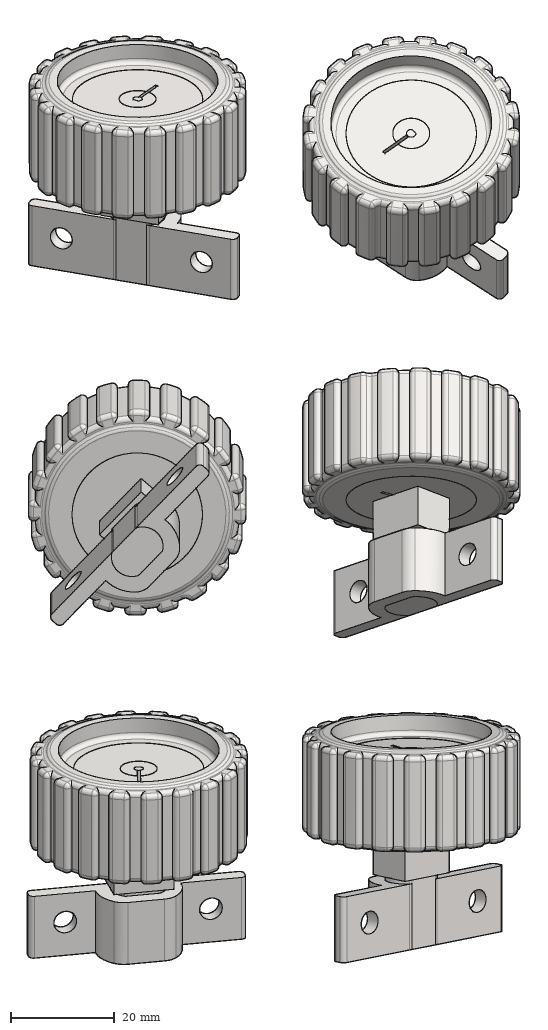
import cadquery as cq
import math

BRACKET_HEIGHT = 13.0
NECK_TOP = 14.0
KNOB_BOTTOM = 22.0
KNOB_TOP = 42.0
DIAL_DEPTH = 4.0
DIAL_Z = KNOB_TOP - DIAL_DEPTH

EDGE_RADIUS = 1.0

KNOB_TURN = -11.8
RIB_COUNT = 20
RIB_PITCH = 360 / RIB_COUNT
RIB_HALF_ANGLE = 6
FLARED_RIB_INDEX = 6
RIB_TIP_RADIUS = 21.0
RIB_ROOT_RADIUS = 17.17
GRIP_RADIUS = 19.75
RIM_STEP = 0.5
GRIP_BOTTOM = KNOB_BOTTOM + RIM_STEP
GRIP_TOP = KNOB_TOP - RIM_STEP
RIM_RADIUS = 17.77
DIAL_WALL_RADIUS = 15.5

CORE_RADIUS = 12.58
CORE_RISE = 0.05
HUB_RADIUS = 3.55
HUB_RISE = 0.105
HUB_TOP = DIAL_Z + HUB_RISE
SLIT_WIDTH = 0.6
SLIT_LENGTH = 6.9

BLOCK_LENGTH = 11.85
BLOCK_WIDTH = 8.9
SHAFT_RADIUS = 0.9
SHAFT_FLAT = 0.7
NECK_HALF_LENGTH = 5.45
NECK_HALF_WIDTH = 3.48
NECK_END_RADIUS = 4.0

BRACKET_LENGTH = 42.95
BRACKET_WALL = 3.0
BOSS_END_RADIUS = 7.6
BOSS_CORNER_RADIUS = 3.65
MOUNT_HOLE_DIAMETER = 4.45
MOUNT_HOLE_SPACING = 28.85
MOUNT_HOLE_Z = 7.0


def polar(radius, degrees):
    angle = math.radians(degrees)
    return (radius * math.cos(angle), radius * math.sin(angle))


def turned(body, degrees):
    return body.rotate((0, 0, 0), (0, 0, 1), degrees)


def arc_middle(center, start, end):
    """Middle point of the shorter arc from start to end about the center."""
    toward_middle = (start + end) / 2 - center
    return center + toward_middle.normalized() * (start - center).Length


def rounded_bar(half_length, half_width, end_radius, corner_radius, height):
    """Upright bar with flat sides, bulging ends and tangent corner arcs between them."""
    end_x = half_length - end_radius
    corner_y = half_width - corner_radius
    corner_x = end_x + math.sqrt((end_radius - corner_radius) ** 2 - corner_y ** 2)
    join_angle = math.degrees(math.atan2(corner_y, corner_x - end_x))

    join_x, join_y = polar(end_radius, join_angle)
    join_x += end_x
    bend_x, bend_y = polar(corner_radius, (90 + join_angle) / 2)
    bend_x += corner_x
    bend_y += corner_y
    return (
        cq.Workplane("XY")
        .moveTo(-corner_x, half_width)
        .lineTo(corner_x, half_width)
        .threePointArc((bend_x, bend_y), (join_x, join_y))
        .threePointArc((half_length, 0), (join_x, -join_y))
        .threePointArc((bend_x, -bend_y), (corner_x, -half_width))
        .lineTo(-corner_x, -half_width)
        .threePointArc((-bend_x, -bend_y), (-join_x, -join_y))
        .threePointArc((-half_length, 0), (-join_x, join_y))
        .threePointArc((-bend_x, bend_y), (-corner_x, half_width))
        .close()
        .extrude(height)
    )


def make_neck(height):
    return rounded_bar(NECK_HALF_LENGTH, NECK_HALF_WIDTH, NECK_END_RADIUS, EDGE_RADIUS, height)


def make_shaft():
    flat_half_width = math.sqrt(SHAFT_RADIUS ** 2 - SHAFT_FLAT ** 2)
    shaft = (
        cq.Workplane("XY", origin=(0, 0, KNOB_BOTTOM))
        .moveTo(-flat_half_width, -SHAFT_FLAT)
        .threePointArc((0, SHAFT_RADIUS), (flat_half_width, -SHAFT_FLAT))
        .close()
        .extrude(HUB_TOP - KNOB_BOTTOM)
    )
    return turned(shaft, KNOB_TURN)


def make_encoder():
    block = (
        cq.Workplane("XY", origin=(0, 0, NECK_TOP))
        .rect(BLOCK_LENGTH, BLOCK_WIDTH)
        .extrude(KNOB_BOTTOM - NECK_TOP)
    )
    return make_neck(NECK_TOP).union(block).union(make_shaft())


def make_bracket():
    tabs = (
        cq.Workplane("XY")
        .box(BRACKET_LENGTH, BRACKET_WALL, BRACKET_HEIGHT, centered=(True, False, False))
        .translate((0, -NECK_HALF_WIDTH, 0))
        .edges("|Z")
        .fillet(EDGE_RADIUS)
    )
    boss = rounded_bar(
        NECK_HALF_LENGTH + BRACKET_WALL,
        NECK_HALF_WIDTH + BRACKET_WALL,
        BOSS_END_RADIUS,
        BOSS_CORNER_RADIUS,
        BRACKET_HEIGHT,
    )
    behind_front_face = (
        cq.Workplane("XY")
        .box(BRACKET_LENGTH, BRACKET_LENGTH, BRACKET_HEIGHT, centered=(True, False, False))
        .translate((0, -NECK_HALF_WIDTH, 0))
    )
    mount_holes = (
        cq.Workplane("XZ", origin=(0, 0, MOUNT_HOLE_Z))
        .rarray(MOUNT_HOLE_SPACING, 0.45, 2, 1)
        .circle(MOUNT_HOLE_DIAMETER / 2)
        .extrude(BRACKET_LENGTH, both=True)
    )
    return (
        tabs.union(boss.intersect(behind_front_face))
        .cut(make_neck(BRACKET_HEIGHT))
        .cut(mount_holes)
    )


def rib_start():
    """Sketch of the rib outline, started along its plain radial side to the tip."""
    return (
        cq.Workplane("XY", origin=(0, 0, GRIP_BOTTOM))
        .moveTo(*polar(RIB_ROOT_RADIUS, -RIB_HALF_ANGLE))
        .lineTo(*polar(RIB_TIP_RADIUS, -RIB_HALF_ANGLE))
    )


def make_plain_rib():
    """Grip rib with radial sides; its rounded edges run into the knob body."""
    return (
        rib_start()
        .threePointArc((RIB_TIP_RADIUS, 0), polar(RIB_TIP_RADIUS, RIB_HALF_ANGLE))
        .lineTo(*polar(RIB_ROOT_RADIUS, RIB_HALF_ANGLE))
        .close()
        .extrude(GRIP_TOP - GRIP_BOTTOM)
        .edges("|Z").edges(">X").fillet(EDGE_RADIUS)
        .faces("<Z or >Z").edges("not <X").fillet(EDGE_RADIUS)
    )


def make_flared_rib():
    """Grip rib with one side flowing through a hollow arc into the grip cylinder."""
    round_center_radius = RIB_TIP_RADIUS - EDGE_RADIUS
    hollow_center_radius = GRIP_RADIUS + EDGE_RADIUS
    round_angle = RIB_HALF_ANGLE - math.degrees(math.asin(EDGE_RADIUS / round_center_radius))
    center_spread = math.degrees(math.acos(
        (round_center_radius ** 2 + hollow_center_radius ** 2 - (2 * EDGE_RADIUS) ** 2)
        / (2 * round_center_radius * hollow_center_radius)
    ))
    hollow_angle = round_angle + center_spread

    round_center = cq.Vector(*polar(round_center_radius, round_angle))
    hollow_center = cq.Vector(*polar(hollow_center_radius, hollow_angle))
    round_start = cq.Vector(*polar(RIB_TIP_RADIUS, round_angle))
    arcs_join = (round_center + hollow_center) / 2
    hollow_end = cq.Vector(*polar(GRIP_RADIUS, hollow_angle))
    round_middle = arc_middle(round_center, round_start, arcs_join)
    hollow_middle = arc_middle(hollow_center, arcs_join, hollow_end)
    return (
        rib_start()
        .threePointArc((RIB_TIP_RADIUS, 0), round_start.toTuple()[:2])
        .threePointArc(round_middle.toTuple()[:2], arcs_join.toTuple()[:2])
        .threePointArc(hollow_middle.toTuple()[:2], hollow_end.toTuple()[:2])
        .lineTo(*polar(RIB_ROOT_RADIUS, hollow_angle))
        .close()
        .extrude(GRIP_TOP - GRIP_BOTTOM)
        .edges("|Z").edges("<Y").fillet(EDGE_RADIUS)
        .faces("<Z or >Z").edges("not (<X or >Y)").fillet(EDGE_RADIUS)
    )


def make_rim():
    """Upper rim ring, rising from the grip through a hollow arc and a rounded one."""
    arc_angle = math.acos(1 - RIM_STEP / 2 / EDGE_RADIUS)
    arc_run = EDGE_RADIUS * math.sin(arc_angle)
    half_run = EDGE_RADIUS * math.sin(arc_angle / 2)
    half_rise = EDGE_RADIUS * (1 - math.cos(arc_angle / 2))
    foot_radius = RIM_RADIUS + arc_run
    top_radius = RIM_RADIUS - arc_run
    return (
        cq.Workplane("XZ")
        .moveTo(CORE_RADIUS, GRIP_TOP)
        .lineTo(foot_radius, GRIP_TOP)
        .threePointArc(
            (foot_radius - half_run, GRIP_TOP + half_rise),
            (RIM_RADIUS, GRIP_TOP + RIM_STEP / 2),
        )
        .threePointArc(
            (top_radius + half_run, KNOB_TOP - half_rise),
            (top_radius, KNOB_TOP),
        )
        .lineTo(CORE_RADIUS, KNOB_TOP)
        .close()
        .revolve(360, (0, 0, 0), (0, 1, 0))
    )


def make_knob_body():
    """Turned ring: rounded grip, a rim on each end, dial recess and core bore."""
    grip = (
        cq.Workplane("XY", origin=(0, 0, GRIP_BOTTOM))
        .circle(GRIP_RADIUS)
        .extrude(GRIP_TOP - GRIP_BOTTOM)
        .edges().fillet(EDGE_RADIUS)
    )
    bore = (
        cq.Workplane("XY", origin=(0, 0, KNOB_BOTTOM))
        .circle(CORE_RADIUS)
        .extrude(KNOB_TOP - KNOB_BOTTOM)
    )
    recess = (
        cq.Workplane("XY", origin=(0, 0, DIAL_Z))
        .circle(DIAL_WALL_RADIUS)
        .extrude(DIAL_DEPTH)
        .faces("<Z").edges().fillet(EDGE_RADIUS)
    )
    upper_rim = make_rim()
    lower_rim = upper_rim.mirror("XY", (0, 0, (KNOB_BOTTOM + KNOB_TOP) / 2))
    return grip.union(upper_rim).union(lower_rim).cut(bore).cut(recess)


def make_knob():
    knob = make_knob_body()
    plain_rib = make_plain_rib()
    flared_rib = make_flared_rib()
    for index in range(RIB_COUNT):
        rib = flared_rib if index == FLARED_RIB_INDEX else plain_rib
        knob = knob.union(turned(rib, RIB_HALF_ANGLE + index * RIB_PITCH))
    return turned(knob, KNOB_TURN)


def make_core():
    """Knob core with a slightly raised hub, split by a slit that starts at the shaft hole."""
    core_height = DIAL_Z + CORE_RISE - KNOB_BOTTOM
    hub_height = HUB_TOP - KNOB_BOTTOM
    base = cq.Workplane("XY", origin=(0, 0, KNOB_BOTTOM))
    disk = base.circle(CORE_RADIUS).extrude(core_height)
    hub = base.circle(HUB_RADIUS).extrude(hub_height)
    slit = base.box(SLIT_WIDTH, SLIT_LENGTH, hub_height, centered=(True, False, False))
    return disk.union(hub).cut(turned(slit, KNOB_TURN)).cut(make_shaft())


bracket = make_bracket()
encoder = make_encoder()
core = make_core()
knob = make_knob()

bodies = [bracket, encoder, core, knob]
result = cq.Compound.makeCompound([body.solids().val() for body in bodies])